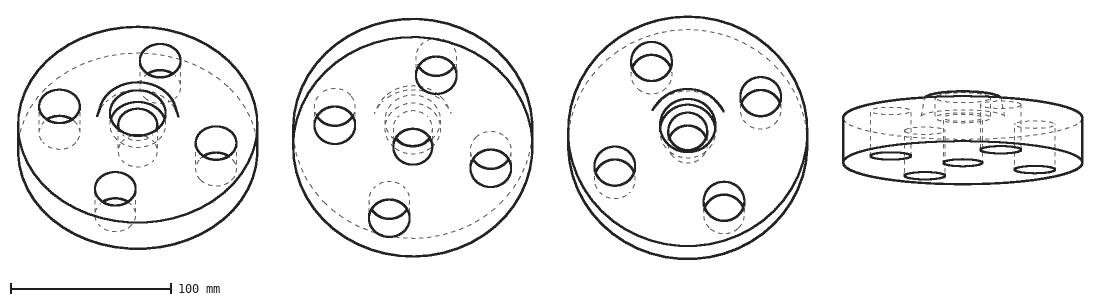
import cadquery as cq
import math

flange_diameter = 149.3
flange_thickness = 28.5
overall_height = 41.2

bolt_hole_count = 4
bolt_hole_diameter = 25.4
bolt_circle_diameter = 101.5

hub_base_diameter = 52.3
hub_taper_angle = 10.0
hub_edge_radius = 1.5
hub_root_radius = 1.5
hub_height = overall_height - flange_thickness
hub_top_diameter = hub_base_diameter - 2 * hub_height * math.tan(math.radians(hub_taper_angle))

bore_diameter = 24.3
socket_diameter = 34.6
socket_depth = 12.7


def make_body():
    """Disc and tapered hub, with the hub's root and rim rounded."""
    half_section = (
        cq.Workplane("XZ")
        .moveTo(0, 0)
        .lineTo(flange_diameter / 2, 0)
        .lineTo(flange_diameter / 2, flange_thickness)
        .lineTo(hub_base_diameter / 2, flange_thickness)
        .lineTo(hub_top_diameter / 2, overall_height)
        .lineTo(0, overall_height)
        .close()
    )
    body = half_section.revolve(360, (0, 0, 0), (0, 1, 0))
    hub_root = cq.selectors.RadiusNthSelector(1)
    body = body.edges("%CIRCLE").edges(hub_root).fillet(hub_root_radius)
    return body.faces(">Z").edges("%CIRCLE").fillet(hub_edge_radius)


def cut_bore_and_socket(body):
    """Bore right through, widened from the hub top to form the socket."""
    hub_top = body.faces(">Z").workplane(origin=(0, 0, overall_height))
    return hub_top.cboreHole(bore_diameter, socket_diameter, socket_depth)


def cut_bolt_holes(body):
    """Equally spaced through holes, the first one on the +X axis."""
    return (
        body.faces("<Z")
        .workplane(origin=(0, 0, 0))
        .polarArray(bolt_circle_diameter / 2, 0, 360, bolt_hole_count)
        .hole(bolt_hole_diameter)
    )


result = cut_bolt_holes(cut_bore_and_socket(make_body()))